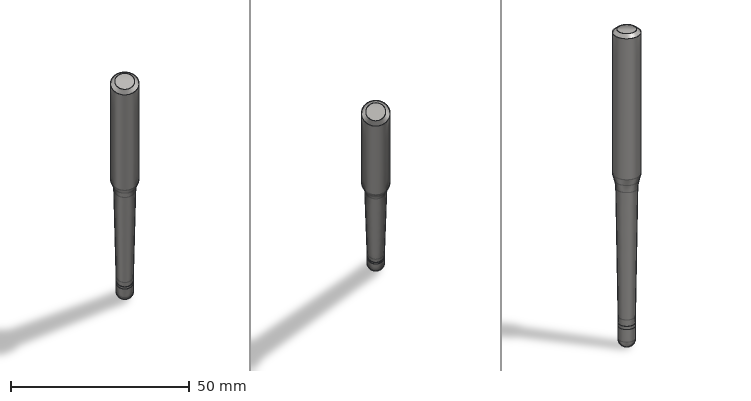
import cadquery as cq
import math

ball_radius = 2.5
head_length = 6.5

collar_top = 7.5
neck_clearance = 0.05
neck_radius = ball_radius - neck_clearance
neck_cylinder_top = 9.5
neck_top = 50.0
neck_top_radius = 3.1
neck_angle = math.atan((neck_top_radius - neck_radius) / (neck_top - neck_cylinder_top))

blend_radius = 10.0
shoulder_angle = math.radians(15.0)
middle_angle = (neck_angle + shoulder_angle) / 2

shank_radius = 4.0
total_length = 100.0
chamfer_height = 1.0
chamfer_width = 1.2


def blend_point(angle):
    """Point (radius, height) on the blend where its wall leans by angle from Z."""
    radius = neck_top_radius + blend_radius * (math.cos(neck_angle) - math.cos(angle))
    height = neck_top + blend_radius * (math.sin(angle) - math.sin(neck_angle))
    return radius, height


def make_cutting_head():
    arc_offset = ball_radius * math.sqrt(0.5)
    profile = (
        cq.Workplane("XZ")
        .moveTo(0, 0)
        .threePointArc((arc_offset, ball_radius - arc_offset), (ball_radius, ball_radius))
        .lineTo(ball_radius, head_length)
        .lineTo(0, head_length)
        .close()
    )
    return profile.revolve(360, (0, 0), (0, 1))


def make_shank():
    """Neck, shoulder and cylindrical shank, standing on the cutting head."""
    blend_end = blend_point(shoulder_angle)
    shoulder_top = blend_end[1] + (shank_radius - blend_end[0]) / math.tan(shoulder_angle)
    profile = (
        cq.Workplane("XZ")
        .moveTo(0, head_length)
        .lineTo(ball_radius, head_length)
        .lineTo(ball_radius, collar_top)
        .lineTo(neck_radius, collar_top)
        .lineTo(neck_radius, neck_cylinder_top)
        .lineTo(neck_top_radius, neck_top)
        .threePointArc(blend_point(middle_angle), blend_end)
        .lineTo(shank_radius, shoulder_top)
        .lineTo(shank_radius, total_length - chamfer_height)
        .lineTo(shank_radius - chamfer_width, total_length)
        .lineTo(0, total_length)
        .close()
    )
    return profile.revolve(360, (0, 0), (0, 1))


cutting_head = make_cutting_head()
shank = make_shank()

result = cq.Compound.makeCompound([cutting_head.val(), shank.val()])